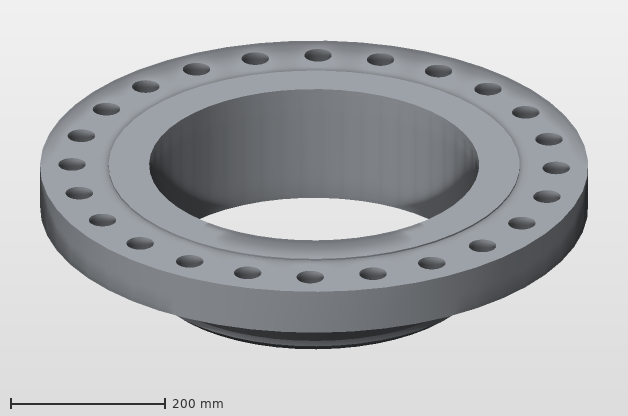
import cadquery as cq
import math

flange_diameter = 711.0
flange_thickness = 60.0
bore_diameter = 428.0

face_diameter = 533.5
face_height = 2.0

total_height = 158.5
hub_diameter = 525.0
hub_fillet = 9.0
neck_diameter = 456.5
neck_length = 19.0
bevel_height = 11.5
bevel_angle = 50.0

bolt_count = 24
bolt_circle_diameter = 628.0
bolt_hole_diameter = 35.5

flange_top = total_height - face_height
flange_bottom = flange_top - flange_thickness

bore_radius = bore_diameter / 2
flange_radius = flange_diameter / 2
face_radius = face_diameter / 2
hub_radius = hub_diameter / 2
neck_radius = neck_diameter / 2
bevel_radius = neck_radius - bevel_height * math.tan(math.radians(bevel_angle))

taper_angle = math.atan2(hub_radius - neck_radius, flange_bottom - neck_length)
corner_angle = math.pi / 2 + taper_angle
tangent_length = hub_fillet / math.tan(corner_angle / 2)
fillet_start_radius = hub_radius - tangent_length * math.sin(taper_angle)
fillet_start_height = flange_bottom - tangent_length * math.cos(taper_angle)
fillet_end_radius = hub_radius + tangent_length


def make_body():
    """Revolve the half section of the flange and neck about Z."""
    section = (
        cq.Workplane("XZ")
        .moveTo(bore_radius, 0)
        .lineTo(bevel_radius, 0)
        .lineTo(neck_radius, bevel_height)
        .lineTo(neck_radius, neck_length)
        .lineTo(fillet_start_radius, fillet_start_height)
        .tangentArcPoint((fillet_end_radius, flange_bottom), relative=False)
        .lineTo(flange_radius, flange_bottom)
        .lineTo(flange_radius, flange_top)
        .lineTo(face_radius, flange_top)
        .lineTo(face_radius, total_height)
        .lineTo(bore_radius, total_height)
        .close()
    )
    return section.revolve(360, (0, 0, 0), (0, 1, 0))


def cut_bolt_holes(body):
    """Drill evenly spaced through holes on the bolt circle."""
    holes = (
        cq.Workplane("XY")
        .polarArray(bolt_circle_diameter / 2, 0, 360, bolt_count)
        .circle(bolt_hole_diameter / 2)
        .extrude(total_height)
    )
    return body.cut(holes)


result = cut_bolt_holes(make_body())